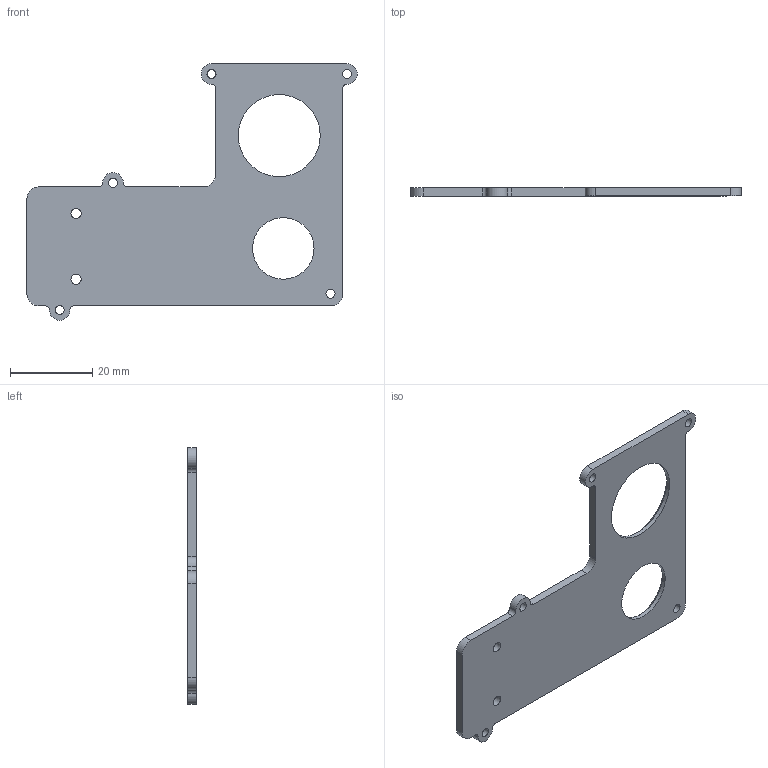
import cadquery as cq

thickness = 2.0
plate_right = 77.0
arm_height = 29.0
column_left = 46.0
corner_radius = 3.0

tab_radius = 2.5
tab_blend = 1.0
tab_offset = 1.0
arm_top_tab_x = 21.0
arm_bottom_tab_x = 8.0
column_tab_z = 56.5

screw_hole_diameter = 2.2
corner_hole_inset = 3.0
mount_hole_diameter = 2.5
mount_hole_x = 12.0
mount_hole_bottom_z = 6.5
mount_hole_spacing = 16.0
large_opening_diameter = 20.0
large_opening_center = (61.5, 41.5)
small_opening_diameter = 15.0
small_opening_center = (62.5, 14.0)
opening_chamfer = 1.0

arm_top_tab = (arm_top_tab_x, arm_height + tab_offset)
arm_bottom_tab = (arm_bottom_tab_x, -tab_offset)
column_left_tab = (column_left - tab_offset, column_tab_z)
column_right_tab = (plate_right + tab_offset, column_tab_z)

column_top = column_tab_z + tab_radius
column_tab_bottom = column_tab_z - tab_radius


def extrude_through(sketch):
    """Extrude a sketch in the XZ plane from the front face (y = 0) to the back face."""
    return sketch.extrude(-thickness)


def make_plate():
    """L-shaped plate with rounded corners and the four tabs in one outline."""
    bottom_tab_x, bottom_tab_z = arm_bottom_tab
    top_tab_x, top_tab_z = arm_top_tab
    left_tab_x = column_left_tab[0]
    right_tab_x = column_right_tab[0]
    blend_reach = tab_radius + tab_blend

    outline = (
        cq.Workplane("XZ")
        .moveTo(corner_radius, 0)
        .lineTo(bottom_tab_x - blend_reach, 0)
        .radiusArc((bottom_tab_x - tab_radius, bottom_tab_z), tab_blend)
        .threePointArc(
            (bottom_tab_x, bottom_tab_z - tab_radius),
            (bottom_tab_x + tab_radius, bottom_tab_z),
        )
        .radiusArc((bottom_tab_x + blend_reach, 0), tab_blend)
        .lineTo(plate_right - corner_radius, 0)
        .radiusArc((plate_right, corner_radius), -corner_radius)
        .lineTo(plate_right, column_tab_bottom - tab_blend)
        .radiusArc((right_tab_x, column_tab_bottom), tab_blend)
        .threePointArc((right_tab_x + tab_radius, column_tab_z), (right_tab_x, column_top))
        .lineTo(left_tab_x, column_top)
        .threePointArc((left_tab_x - tab_radius, column_tab_z), (left_tab_x, column_tab_bottom))
        .radiusArc((column_left, column_tab_bottom - tab_blend), tab_blend)
        .lineTo(column_left, arm_height + corner_radius)
        .radiusArc((column_left - corner_radius, arm_height), corner_radius)
        .lineTo(top_tab_x + blend_reach, arm_height)
        .radiusArc((top_tab_x + tab_radius, top_tab_z), tab_blend)
        .threePointArc(
            (top_tab_x, top_tab_z + tab_radius),
            (top_tab_x - tab_radius, top_tab_z),
        )
        .radiusArc((top_tab_x - blend_reach, arm_height), tab_blend)
        .lineTo(corner_radius, arm_height)
        .radiusArc((0, arm_height - corner_radius), -corner_radius)
        .lineTo(0, corner_radius)
        .radiusArc((corner_radius, 0), -corner_radius)
        .close()
    )
    return extrude_through(outline)


def make_holes(centers, diameter):
    """Through-hole cutters of one diameter at the given (x, z) centres."""
    return extrude_through(cq.Workplane("XZ").pushPoints(centers).circle(diameter / 2))


def make_opening(center, diameter):
    """Cutter for a round opening that flares out at 45 degrees at the back face."""
    radius = diameter / 2
    flare_start = cq.Vector(center[0], thickness - opening_chamfer, center[1])
    flare = cq.Solid.makeCone(
        radius,
        radius + opening_chamfer,
        opening_chamfer,
        flare_start,
        cq.Vector(0, 1, 0),
    )
    return make_holes([center], diameter).union(cq.Workplane(flare))


corner_hole = (plate_right - corner_hole_inset, corner_hole_inset)
screw_holes = [arm_top_tab, arm_bottom_tab, column_left_tab, column_right_tab, corner_hole]
mount_holes = [
    (mount_hole_x, mount_hole_bottom_z),
    (mount_hole_x, mount_hole_bottom_z + mount_hole_spacing),
]

result = (
    make_plate()
    .cut(make_holes(screw_holes, screw_hole_diameter))
    .cut(make_holes(mount_holes, mount_hole_diameter))
    .cut(make_opening(large_opening_center, large_opening_diameter))
    .cut(make_opening(small_opening_center, small_opening_diameter))
)